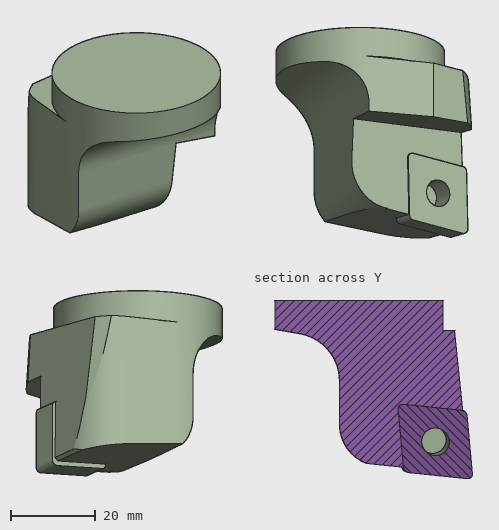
import cadquery as cq
import math


flange_radius = 20.0
flange_height = 7.1
neck_x = 4.65
underside_angle = 10
rim_height = 6.85
neck_radius = 11.3
heel_radius = 10.0
heel_z = -29.3

back_y = 19.25
back_corner_x = -11.5
back_slant_angle = 20.6
front_corner_radius = 12.0
front_corner_x = -12.7
outline_right_x = 28.2
outline_left_x = -30.55
head_bottom_z = -44.65

cone_top_radius = 25.65
cone_taper = 0.065

insert_height = 15.9
insert_angle = 80
insert_thickness = 6.35
insert_hole_diameter = 6.35
insert_corner_radius = 1.18
insert_tip = (-27.05, 0.2, -42.45)
left_inset = 0.75
head_corner_angle = 79.4
head_chamfer = 0.85
bottom_inset = 1.15
pocket_height = 24.45
ceiling_drop = 7
rake_stand_off = 0.4
reach = 94

seat_normal = cq.Vector(0.18, -0.977, 0.113)
lower_side_rise = 0.085
lower_side_y = -(seat_normal.x + seat_normal.z * lower_side_rise) / seat_normal.y
lower_side = cq.Vector(1, lower_side_y, lower_side_rise)
seat = cq.Plane(origin=insert_tip, xDir=lower_side, normal=seat_normal)

corner_angle = math.radians(insert_angle)
side_x = math.cos(corner_angle)
side_y = math.sin(corner_angle)
insert_side = insert_height / side_y


def make_column():
    """Round column that forms the flange and, with a flat back, the right part of the head."""
    column = cq.Workplane("XY").circle(flange_radius).extrude(head_bottom_z)
    back_trim = (
        cq.Workplane("XY", origin=(0, 0, -flange_height))
        .moveTo(0, back_y + reach / 2)
        .rect(reach, reach)
        .extrude(head_bottom_z)
    )
    return column.cut(back_trim)


def make_head_block():
    """Upright block left of the column's axis, with its left and bottom faces still oversize."""
    slant_left_y = back_y - (back_corner_x - outline_left_x) * math.tan(math.radians(back_slant_angle))
    corner_y = front_corner_radius - flange_radius
    corner_left_x = front_corner_x - front_corner_radius
    diagonal = front_corner_radius * math.sqrt(0.5)
    return (
        cq.Workplane("XY", origin=(0, 0, -flange_height))
        .moveTo(0, -flange_radius)
        .lineTo(0, back_y)
        .lineTo(back_corner_x, back_y)
        .lineTo(outline_left_x, slant_left_y)
        .lineTo(outline_left_x, corner_y)
        .lineTo(corner_left_x, corner_y)
        .threePointArc((front_corner_x - diagonal, corner_y - diagonal), (front_corner_x, -flange_radius))
        .close()
        .extrude(head_bottom_z + flange_height)
    )


def make_turning_cone():
    depth = -head_bottom_z - flange_height
    return (
        cq.Workplane("XZ")
        .moveTo(0, -flange_height)
        .lineTo(cone_top_radius, -flange_height)
        .lineTo(cone_top_radius + cone_taper * depth, head_bottom_z)
        .lineTo(0, head_bottom_z)
        .close()
        .revolve(360, (0, 0), (0, 1))
    )


def make_seat_envelope():
    """Prism along the seat direction that gives the left and bottom faces of the head."""
    corner_x = (left_inset + bottom_inset * side_x) / side_y
    head_angle = math.radians(head_corner_angle)
    head_side_x = math.cos(head_angle)
    head_side_y = math.sin(head_angle)
    return (
        cq.Workplane(seat)
        .moveTo(corner_x + head_chamfer, bottom_inset)
        .lineTo(corner_x + reach, bottom_inset)
        .lineTo(corner_x + reach, bottom_inset + reach)
        .lineTo(corner_x + reach * head_side_x, bottom_inset + reach * head_side_y)
        .lineTo(corner_x + head_chamfer * head_side_x, bottom_inset + head_chamfer * head_side_y)
        .close()
        .extrude(reach, both=True)
    )


def make_neck_relief():
    """Prism along Y that clears the space below the flange underside and beside the neck and heel."""
    slope = math.radians(underside_angle)
    neck_center_x = neck_x + neck_radius
    tangent_x = neck_center_x - neck_radius * math.sin(slope)
    tangent_z = -rim_height - (flange_radius - tangent_x) * math.tan(slope)
    outline_right_z = -rim_height + (outline_right_x - flange_radius) * math.tan(slope)
    neck_center_z = tangent_z - neck_radius * math.cos(slope)
    neck_mid = (math.pi + math.pi / 2 + slope) / 2
    neck_mid_point = (
        neck_center_x + neck_radius * math.cos(neck_mid),
        neck_center_z + neck_radius * math.sin(neck_mid),
    )
    heel_center_x = neck_x - heel_radius
    heel_diagonal = heel_radius * math.sqrt(0.5)
    return (
        cq.Workplane("XZ")
        .moveTo(outline_right_x, outline_right_z)
        .lineTo(tangent_x, tangent_z)
        .threePointArc(neck_mid_point, (neck_x, neck_center_z))
        .lineTo(neck_x, heel_z)
        .threePointArc(
            (heel_center_x + heel_diagonal, heel_z - heel_diagonal),
            (heel_center_x, heel_z - heel_radius),
        )
        .lineTo(heel_center_x, head_bottom_z)
        .lineTo(outline_right_x, head_bottom_z)
        .close()
        .extrude(reach, both=True)
    )


def make_chip_pocket():
    """Open space in front of the rake face; its ceiling falls away from the insert's left side."""
    ceiling_x = pocket_height * side_x
    ceiling_y = pocket_height * side_y
    half_drop = reach * math.tan(math.radians(ceiling_drop))
    return (
        cq.Workplane(seat)
        .workplane(offset=rake_stand_off)
        .moveTo(ceiling_x - reach, ceiling_y + half_drop)
        .lineTo(ceiling_x + reach, ceiling_y - half_drop)
        .lineTo(ceiling_x + reach, -reach)
        .lineTo(ceiling_x - reach, -reach)
        .close()
        .extrude(-reach)
    )


def make_insert_blank():
    return (
        cq.Workplane(seat)
        .polyline([
            (0, 0),
            (insert_side, 0),
            (insert_side * (1 + side_x), insert_height),
            (insert_side * side_x, insert_height),
        ])
        .close()
        .extrude(insert_thickness)
        .edges(cq.selectors.ParallelDirSelector(seat_normal))
        .fillet(insert_corner_radius)
    )


def make_insert():
    center = (insert_side * (1 + side_x) / 2, insert_height / 2)
    hole = (
        cq.Workplane(seat)
        .center(*center)
        .circle(insert_hole_diameter / 2)
        .extrude(insert_thickness)
    )
    return make_insert_blank().cut(hole)


def make_holder():
    head = make_head_block().intersect(make_turning_cone())
    holder = make_column().union(head).intersect(make_seat_envelope()).cut(make_neck_relief())
    return holder.cut(make_chip_pocket()).cut(make_insert_blank())


holder = make_holder()
insert = make_insert()
result = cq.Compound.makeCompound([holder.solids().val(), insert.solids().val()])